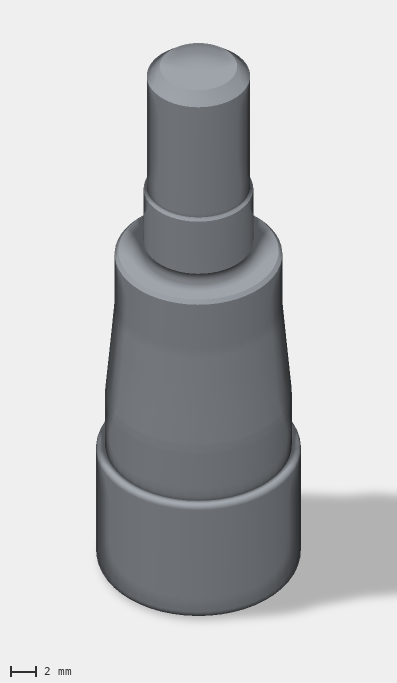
import cadquery as cq
import math

total_height = 48.0
cap_top = 11.15
taper_bottom = 16.2
taper_top = 24.95
shoulder_top = 30.0
collar_bottom = 31.0
collar_top = 36.1

cap_radius = 15.9 / 2
lower_radius = 14.5 / 2
upper_radius = 13.0 / 2
collar_radius = 8.5 / 2
shaft_radius = 8.0 / 2

cap_bottom_fillet = 0.8
cap_top_fillet = 0.4
taper_blend_radius = 10.0
shoulder_chamfer = 0.3
tip_chamfer_height = 0.9
tip_chamfer_width = 1.0

undercut_radius = 3.8
undercut_fillet = 0.5
collar_ledge_radius = 4.2


def make_cap():
    """Plain round cap with rounded rims; the spindle stands on its top face."""
    cap = cq.Workplane("XY").circle(cap_radius).extrude(cap_top)
    cap = cap.faces("<Z").edges().fillet(cap_bottom_fillet)
    return cap.faces(">Z").edges().fillet(cap_top_fillet)


def make_spindle():
    """Turned spindle: tapered body, undercut, collar and chamfered shaft."""
    taper_angle = math.atan2(lower_radius - upper_radius, taper_top - taper_bottom)
    blend_length = taper_blend_radius * math.tan(taper_angle / 2)
    blend_inset = blend_length * math.sin(taper_angle)
    blend_rise = blend_length * math.cos(taper_angle)
    collar_lead = collar_radius - shaft_radius

    outline = (
        cq.Workplane("XZ")
        .moveTo(0, cap_top)
        .lineTo(lower_radius, cap_top)
        .lineTo(lower_radius, taper_bottom - blend_length)
        .tangentArcPoint((lower_radius - blend_inset, taper_bottom + blend_rise), relative=False)
        .lineTo(upper_radius + blend_inset, taper_top - blend_rise)
        .tangentArcPoint((upper_radius, taper_top + blend_length), relative=False)
        .lineTo(upper_radius, shoulder_top - shoulder_chamfer)
        .lineTo(upper_radius - shoulder_chamfer, shoulder_top)
        .lineTo(undercut_radius + undercut_fillet, shoulder_top)
        .radiusArc((undercut_radius, shoulder_top + undercut_fillet), undercut_fillet)
        .tangentArcPoint((collar_ledge_radius, collar_bottom), relative=False)
        .lineTo(collar_radius, collar_bottom)
        .lineTo(collar_radius, collar_top)
        .lineTo(shaft_radius, collar_top + collar_lead)
        .lineTo(shaft_radius, total_height - tip_chamfer_height)
        .lineTo(shaft_radius - tip_chamfer_width, total_height)
        .lineTo(0, total_height)
        .close()
    )
    return outline.revolve(360, (0, 0), (0, 1))


cap = make_cap()
spindle = make_spindle()
result = cq.Compound.makeCompound([cap.val(), spindle.val()])